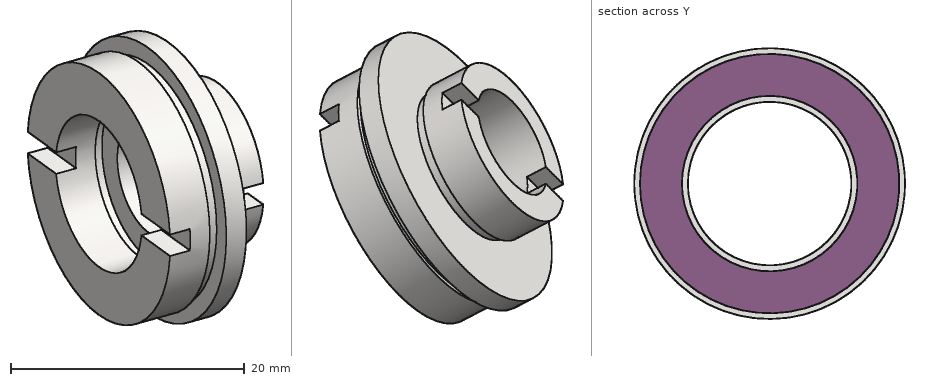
import cadquery as cq

flange_diameter = 25.4
front_diameter = 23.22
front_neck_diameter = 22.25
rear_diameter = 15.0
rear_neck_diameter = 14.0
bore_diameter = 10.0
recess_diameter = rear_neck_diameter
relief_diameter = rear_diameter

total_length = 12.0
collar_length = 4.0
neck_length = 1.0
flange_thickness = total_length - 2 * (collar_length + neck_length)
recess_depth = collar_length + neck_length

slot_width = 2.05
slot_depth = 2.0


def disc(diameter, start, length):
    """Cylinder along +Y from the given start."""
    plane = cq.Workplane("XZ", origin=(0, start, 0))
    return plane.circle(diameter / 2).extrude(-length)


def slot_cutter(start):
    """Bar across the full width along X, one slot depth deep."""
    return cq.Workplane("XY").box(
        flange_diameter, slot_depth, slot_width, centered=(True, False, True)
    ).translate((0, start, 0))


sections = [
    (front_diameter, collar_length),
    (front_neck_diameter, neck_length),
    (flange_diameter, flange_thickness),
    (rear_neck_diameter, neck_length),
    (rear_diameter, collar_length),
]
result = cq.Workplane("XZ")
position = 0
for diameter, length in sections:
    result = result.union(disc(diameter, position, length))
    position += length

result = result.cut(disc(bore_diameter, 0, total_length))
result = result.cut(disc(recess_diameter, 0, recess_depth))
result = result.cut(disc(relief_diameter, recess_depth - neck_length, neck_length))

for slot_start in (0, total_length - slot_depth):
    result = result.cut(slot_cutter(slot_start))